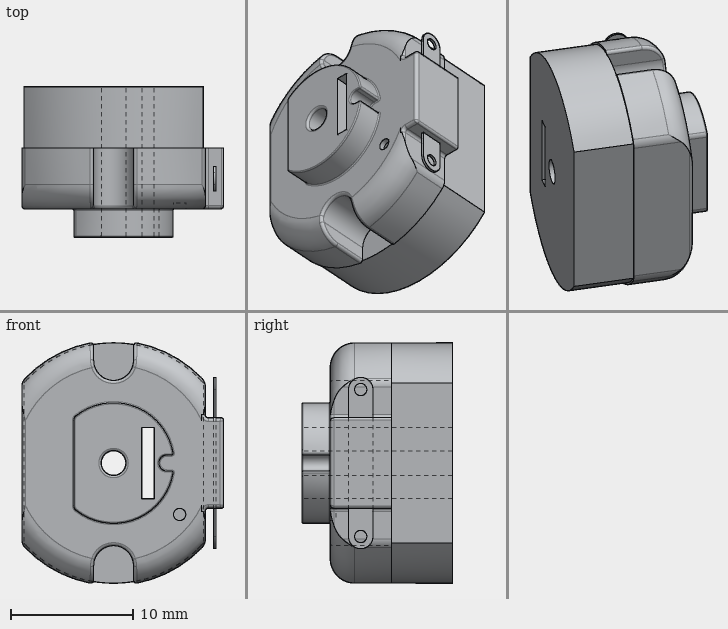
import cadquery as cq
import math


cap_radius = 10.0
cap_half_width = 7.5
cap_depth = 5.0
cap_corner_radius = 1.0
cap_rim_radius = 2.0
front_edge_radius = 0.3

skirt_step = 0.17
skirt_depth = 5.0

tab_reach = 9.0
tab_half_height = 3.7
tab_corner_radius = 0.2
tab_root_radius = 0.25

notch_half_width = 1.62
notch_center_z = 8.37
notch_edge_radius = 0.25

boss_radius = 4.93
boss_flat_x = -3.25
boss_height = 2.3
boss_corner_radius = 0.5
boss_edge_radius = 0.1

keyway_half_width = 0.65
keyway_center_x = 4.35
keyway_mouth_radius = 0.15

shaft_diameter = 2.0
shaft_mouth_radius = 0.2
brush_slot_x = 2.82
brush_slot_width = 1.0
brush_slot_height = 5.8
mark_diameter = 1.0
mark_x = 5.4
mark_z = -4.2
mark_depth = 0.5

terminal_thickness = 0.2
terminal_width = 2.0
terminal_eye_diameter = 1.0
terminal_eye_z = 6.0
terminal_x = 8.28

selection_margin = 0.1

front_y = -cap_depth
boss_front_y = front_y - boss_height
total_depth = skirt_depth + cap_depth + boss_height


def front_plane(y):
    """Sketch plane at depth y, drawn in X and Z and extruding toward -Y."""
    return cq.Workplane("XZ", origin=(0, y, 0))


def double_flat(y, radius, half_width, depth):
    """Disc with a flat on its -X and +X sides."""
    corner_z = math.sqrt(radius**2 - half_width**2)
    return (
        front_plane(y)
        .moveTo(-half_width, -corner_z)
        .lineTo(-half_width, corner_z)
        .threePointArc((0, radius), (half_width, corner_z))
        .lineTo(half_width, -corner_z)
        .threePointArc((0, -radius), (-half_width, -corner_z))
        .close()
        .extrude(depth)
    )


def make_tab_block(start_x, half_height):
    """Rectangular block from start_x to the end of the side tab."""
    length = tab_reach - start_x
    return (
        front_plane(0)
        .center(start_x + length / 2, 0)
        .rect(length, 2 * half_height)
        .extrude(cap_depth)
    )


def make_cap_outline():
    """Double-flat plate with the side tab, rounded at its corners, tab root and front edge."""
    tab_root_edges = cq.selectors.BoxSelector(
        (cap_half_width - selection_margin, front_y, -tab_half_height - selection_margin),
        (cap_half_width + selection_margin, 0, tab_half_height + selection_margin),
    )
    return (
        double_flat(0, cap_radius, cap_half_width, cap_depth)
        .edges("|Y")
        .fillet(cap_corner_radius)
        .union(make_tab_block(0, tab_half_height))
        .edges("|Y")
        .edges(tab_root_edges)
        .fillet(tab_root_radius)
        .edges("|Y and >X")
        .fillet(tab_corner_radius)
        .faces("<Y")
        .edges()
        .fillet(front_edge_radius)
    )


def make_cap_shell():
    """Cap outline trimmed by a round-rimmed disc everywhere except at the tab."""
    disc = front_plane(0).circle(cap_radius).extrude(cap_depth).faces("<Y").edges().fillet(cap_rim_radius)
    tab_region = make_tab_block(
        cap_half_width - front_edge_radius, tab_half_height + tab_root_radius
    )
    return make_cap_outline().intersect(disc.union(tab_region))


def make_notch_cutter(side):
    """Round-bottomed channel open to the cap rim (side is +1 or -1 in Z)."""
    center_z = side * notch_center_z
    length = cap_radius
    channel = (
        front_plane(0)
        .center(0, center_z + side * length / 2)
        .rect(2 * notch_half_width, length)
        .extrude(cap_depth)
    )
    return channel.union(front_plane(0).center(0, center_z).circle(notch_half_width).extrude(cap_depth))


def make_boss():
    """D-shaped boss with a keyway on its round side."""
    corner_z = math.sqrt(boss_radius**2 - boss_flat_x**2)
    boss = (
        front_plane(front_y)
        .moveTo(boss_flat_x, -corner_z)
        .lineTo(boss_flat_x, corner_z)
        .threePointArc((boss_radius, 0), (boss_flat_x, -corner_z))
        .close()
        .extrude(boss_height)
        .edges("|Y")
        .fillet(boss_corner_radius)
    )
    keyway_length = 2 * boss_radius
    keyway = (
        front_plane(front_y)
        .center(keyway_center_x - keyway_half_width + keyway_length / 2, 0)
        .slot2D(keyway_length, 2 * keyway_half_width)
        .extrude(boss_height)
    )
    mouth_box = cq.selectors.BoxSelector(
        (keyway_center_x + keyway_half_width / 2, boss_front_y, -2 * keyway_half_width),
        (boss_radius, front_y, 2 * keyway_half_width),
    )
    return boss.cut(keyway).edges("|Y").edges(mouth_box).fillet(keyway_mouth_radius)


def make_terminal_strip():
    """Flat strip with round ends and an eye at each end."""
    return (
        cq.Workplane("YZ", origin=(terminal_x - terminal_thickness / 2, -cap_depth / 2, 0))
        .slot2D(2 * terminal_eye_z + terminal_width, terminal_width, 90)
        .pushPoints([(0, terminal_eye_z), (0, -terminal_eye_z)])
        .circle(terminal_eye_diameter / 2)
        .extrude(terminal_thickness)
    )


def soften_notch_edges(cap, side):
    """Round the outer edges of one notch: along its straight walls and around its front mouth."""
    reach = notch_half_width + selection_margin
    rim_z = side * cap_radius
    wall_edges = cq.selectors.BoxSelector(
        (-reach, front_y, side * (notch_center_z + selection_margin)),
        (reach, -selection_margin, rim_z),
    )
    mouth_edges = cq.selectors.BoxSelector(
        (-reach, front_y - selection_margin, 0),
        (reach, front_y + selection_margin, rim_z),
    )
    return cap.edges(wall_edges + mouth_edges).fillet(notch_edge_radius)


def add_boss(cap):
    """Join the boss to the front face and round its base and its front edges."""
    base_edges = cq.selectors.BoxSelector(
        (-boss_radius, front_y - selection_margin, -boss_radius),
        (boss_radius, front_y + selection_margin, boss_radius),
    )
    return (
        cap.union(make_boss())
        .edges(base_edges)
        .fillet(boss_edge_radius)
        .faces("<Y")
        .edges()
        .fillet(boss_edge_radius)
    )


def cut_openings(cap):
    """Shaft hole and brush slot through everything, and a shallow round mark on the front face."""
    shaft_hole = front_plane(skirt_depth).circle(shaft_diameter / 2).extrude(total_depth)
    brush_slot = (
        front_plane(skirt_depth)
        .center(brush_slot_x, 0)
        .rect(brush_slot_width, brush_slot_height)
        .extrude(total_depth)
    )
    mark = front_plane(front_y).center(mark_x, mark_z).circle(mark_diameter / 2).extrude(-mark_depth)
    shaft_mouth = cq.selectors.BoxSelector(
        (-shaft_diameter, boss_front_y - selection_margin, -shaft_diameter),
        (shaft_diameter, boss_front_y + selection_margin, shaft_diameter),
    )
    cap = cap.cut(shaft_hole).edges(shaft_mouth).fillet(shaft_mouth_radius)
    return cap.cut(brush_slot).cut(mark)


def make_end_cap():
    """Cap, skirt, tab and boss as one piece, without the passage for the terminal strip."""
    cap = make_cap_shell()
    for side in (1, -1):
        cap = cap.cut(make_notch_cutter(side))
        cap = soften_notch_edges(cap, side)
    cap = add_boss(cap)
    skirt = double_flat(
        skirt_depth, cap_radius - skirt_step, cap_half_width - skirt_step, skirt_depth
    )
    return cut_openings(cap.union(skirt))


terminal_strip = make_terminal_strip()

end_cap = make_end_cap().cut(terminal_strip)

result = cq.Compound.makeCompound([end_cap.solids().val(), terminal_strip.val()])